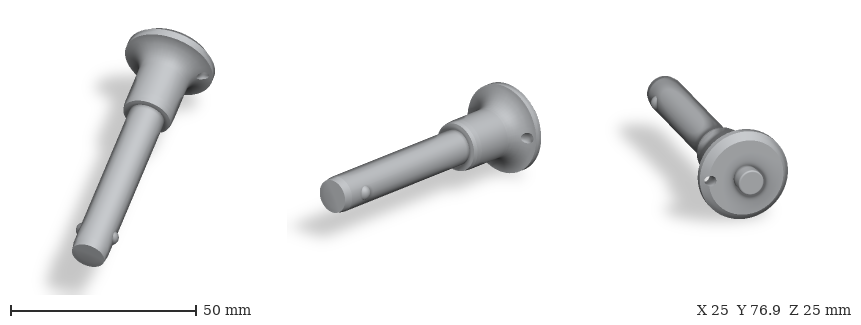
import cadquery as cq


length = 76.9
tip_length = 2.4
ball_station = 7.85
collar_start = 49.7
collar_end = 50.8
body_start = 52.45
rim_thickness = 2.0
rim_bevel = 1.9
button_height = 4.7

shaft_radius = 5.0
tip_radius = 4.6
collar_radius = 6.7
collar_top_radius = 6.9
body_radius = 7.0
rim_diameter = 25.0
rim_radius = rim_diameter / 2
button_radius = 3.5
button_round = 0.45

ball_radius = 2.1
ball_reach = 6.0

lanyard_offset = 10.0
lanyard_diameter = 3.1

flare_radius = rim_radius - body_radius
rim_top = length - button_height
rim_start = rim_top - rim_bevel - rim_thickness
flare_start = rim_start - flare_radius
flare_middle = flare_radius / 2**0.5


def revolved_pin():
    """Shaft, handle and button as one revolved half profile."""
    profile = (
        cq.Workplane("XY")
        .lineTo(tip_radius, 0)
        .lineTo(shaft_radius, tip_length)
        .lineTo(shaft_radius, collar_start)
        .lineTo(collar_radius, collar_start)
        .lineTo(collar_top_radius, collar_end)
        .lineTo(body_radius, body_start)
        .lineTo(body_radius, flare_start)
        .threePointArc(
            (rim_radius - flare_middle, flare_start + flare_middle),
            (rim_radius, rim_start),
        )
        .lineTo(rim_radius, rim_top - rim_bevel)
        .lineTo(rim_radius - rim_bevel, rim_top)
        .lineTo(button_radius, rim_top)
        .lineTo(button_radius, length - button_round)
        .tangentArcPoint((button_radius - button_round, length), relative=False)
        .lineTo(0, length)
        .close()
    )
    return profile.revolve(360, (0, 0, 0), (0, 1, 0))


def locking_ball(side):
    """Ball protruding from the shaft on the +X (side 1) or -X (side -1) face."""
    center = (side * (ball_reach - ball_radius), ball_station, 0)
    return cq.Workplane("XY").sphere(ball_radius).translate(center)


def lanyard_hole():
    """Cutter running parallel to the pin, clear through the rim."""
    return (
        cq.Workplane("XZ", origin=(lanyard_offset, length, 0))
        .circle(lanyard_diameter / 2)
        .extrude(length - flare_start)
    )


pin = revolved_pin()
for side in (-1, 1):
    pin = pin.union(locking_ball(side))

result = pin.cut(lanyard_hole())